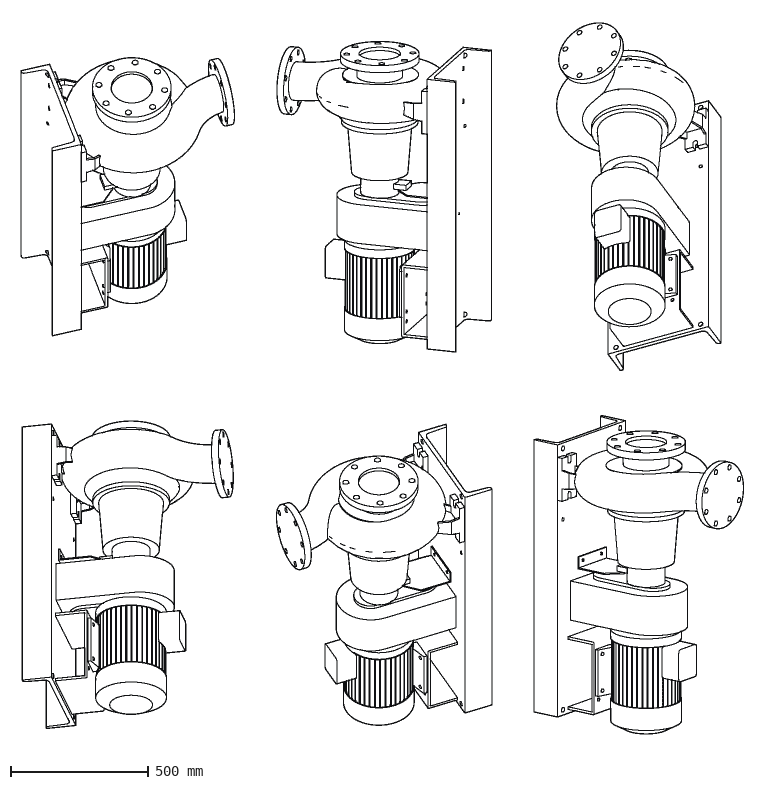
import cadquery as cq
import math


OVERLAP = 5.0

FRAME_WIDTH = 403.0
FRAME_DEPTH = 110.0
FRAME_BACK_Y = -252.0
FRAME_TOP_Z = 129.0
FRAME_LENGTH = 1032.0
FRAME_WEB = 16.0
LEG_ROOT = 21.0
LEG_TIP = 15.0
LEG_ROOT_FILLET = 17.0
LEG_TIP_FILLET = 10.0
CORNER_HOLE_X = 169.0
CORNER_HOLE_D = 17.0
CORNER_HOLE_INSET = 21.0
SIDE_HOLE_D = 12.0
SIDE_HOLE_Z = -161.0

PIPE_R = 70.0
VOLUTE_R = 181.0
VOLUTE_X = 16.0
OUTLET_TURN = 59.0
TONGUE_ANGLE = 60.0
TONGUE_PIPE_R = 54.0
TONGUE_CENTER_R = 174.0
TONGUE_SECTIONS = 5
COVER_R = 141.0
COVER_TOP_Z = 54.0
OUTLET_FLANGE_Y = 354.0
OUTLET_FLANGE_R = 124.0
OUTLET_FLANGE_THICK = 26.0
OUTLET_BOLT_R = 105.0
OUTLET_HOLE_D = 18.0

INLET_TOP_Z = 140.0
INLET_FLANGE_R = 143.0
INLET_FLANGE_THICK = 27.0
INLET_NECK_R = 84.0
INLET_BORE_R = 75.0
INLET_BORE_DEPTH = 13.0
INLET_BOLT_R = 120.0
INLET_HOLE_D = 22.0
FLANGE_BOLTS = 8

CONE_TOP_R = 177.0
CONE_TOP_Z = -60.0
COLLAR_R = 140.0
COLLAR_TOP_Z = -106.0
COLLAR_BOTTOM_Z = -123.0
BEARING_TOP_R = 118.0
BEARING_BOTTOM_R = 103.0
BEARING_BOTTOM_Z = -314.0
SHAFT_TUBE_R = 69.0

FOOT_OUTER_X = 201.0
FOOT_INNER_X = 117.0
FOOT_HEIGHT = 163.0
FOOT_THICK = 21.0
FOOT_BOLT_X = 157.0
FOOT_BOLT_Z = 63.0
FOOT_SLOT_WIDTH = 17.0
FOOT_HOLE_D = 15.0
FOOT_WEB_HALF_ROOT = 35.0
FOOT_WEB_HALF_TIP = 24.0
FOOT_WEB_TIP_Y = -152.0
FOOT_SHOULDER_Y = -199.0
FOOT_WEB_OUTER_END = (178.0, FOOT_WEB_TIP_Y)
FOOT_WEB_INNER_END = (87.0, -206.0)
FOOT_WALL = 8.0
FOOT_RIB_HALF = 5.0

SUPPORT_WIDTH = 163.0
SUPPORT_SHEET = 4.0
SUPPORT_END_Y = -80.0
SUPPORT_TOP_Z = -322.0
SUPPORT_BOTTOM_Z = -368.0
SUPPORT_HOLE_X = 54.0
SUPPORT_HOLE_D = 10.0
SUPPORT_CHAMFER = 52.0
SUPPORT_HOLE_Z = -341.0
PAD_WIDTH = 59.0
PAD_INNER_Y = -62.0
PAD_OUTER_Y = -112.0
PAD_HEIGHT = 20.0

GUARD_R = 126.0
GUARD_ROUND_Y = 33.0
GUARD_TOP_Z = -404.0
GUARD_HEIGHT = 149.0
COVER_PLATE_R = 62.0
COVER_PLATE_END_Y = -165.0
COVER_PLATE_THICK = 12.0
GUARD_HOLE_X = 110.0
GUARD_HOLE_D = 7.0

MOTOR_R = 129.0
MOTOR_GAP = 5.0
MOTOR_FLANGE_HEIGHT = 34.0
FIN_LENGTH = 230.0
FIN_TIP_R = 126.0
FIN_ROOT_R = 117.0
FIN_COUNT = 40
FIN_THICK = 16.0
COWL_HEIGHT = 84.0
MOTOR_BOTTOM_Z = -945.0
COWL_END_R = 78.0
BOX_WIDTH = 106.0
BOX_INNER_Y = 95.0
BOX_END_Y = 192.0
BOX_HEIGHT = 123.0
BOX_FILLET = 12.0
MOTOR_FOOT_OUTER_X = 130.0
MOTOR_FOOT_INNER_X = 43.0
MOTOR_FOOT_SHOULDER_X = 69.0
MOTOR_FOOT_TOP_Y = -103.0
MOTOR_FOOT_EDGE = 12.0
MOTOR_FOOT_LENGTH = 176.0
MOTOR_FOOT_Z = -729.0
MOTOR_BOLT_X = 111.0
MOTOR_BOLT_PITCH = 139.0
MOTOR_HOLE_D = 12.0
SPARE_HOLE_PITCH = 37.0

BRACKET_WIDTH = 278.0
BRACKET_FACE_Y = -132.0
BRACKET_TOP_Z = -612.0
BRACKET_BOTTOM_Z = -888.0
BRACKET_THICK = 10.0

FRAME_BOTTOM_Z = FRAME_TOP_Z - FRAME_LENGTH
FOOT_FACE_Y = FRAME_BACK_Y + FOOT_THICK
SHAFT_TUBE_END_Z = GUARD_TOP_Z + COVER_PLATE_THICK
GUARD_BOTTOM_Z = GUARD_TOP_Z - GUARD_HEIGHT
MOTOR_TOP_Z = GUARD_BOTTOM_Z - COVER_PLATE_THICK - MOTOR_GAP
FIN_TOP_Z = MOTOR_TOP_Z - MOTOR_FLANGE_HEIGHT
COWL_TOP_Z = FIN_TOP_Z - FIN_LENGTH
COWL_BOTTOM_Z = COWL_TOP_Z - COWL_HEIGHT


def box(x_range, y_range, z_range):
    """Box between two limits along each axis."""
    lows, highs = zip(x_range, y_range, z_range)
    size = [high - low for low, high in zip(lows, highs)]
    return cq.Workplane("XY").box(*size, centered=False).translate(lows)


def cylinder(radius, bottom, top):
    """Cylinder about the shaft axis."""
    return cq.Workplane("XY").workplane(offset=bottom).circle(radius).extrude(top - bottom)


def turned(profile):
    """Solid turned about the shaft axis from (radius, z) points."""
    return cq.Workplane("XZ").polyline(profile).close().revolve(360, (0, 0), (0, 1))


def holes_along_y(points, diameter, start_y, end_y):
    """Cylinders along Y at (x, z) points, used for cutting holes."""
    return (
        cq.Workplane("XZ", origin=(0, start_y, 0))
        .pushPoints(points)
        .circle(diameter / 2)
        .extrude(start_y - end_y)
    )


def ring_arc(center, ring_radius, start_angle, sweep_angle):
    """Bend of the volute pipe in the plane z = 0, from start_angle counterclockwise."""
    bend = (
        cq.Workplane("XZ")
        .center(ring_radius, 0)
        .circle(PIPE_R)
        .revolve(sweep_angle, (-ring_radius, 0), (-ring_radius, 1))
    )
    return bend.rotate((0, 0, 0), (0, 0, 1), start_angle).translate((*center, 0))


def narrowing_arc():
    """Inner end of the volute, lofted from the full pipe at -X to the tongue under the outlet."""
    sections = []
    for index in range(TONGUE_SECTIONS):
        share = index / (TONGUE_SECTIONS - 1)
        angle = math.radians(180 + share * (TONGUE_ANGLE - 180))
        full_center_r = VOLUTE_R - VOLUTE_X
        center_r = full_center_r + share * (TONGUE_CENTER_R - full_center_r)
        pipe_r = PIPE_R + share * (TONGUE_PIPE_R - PIPE_R)
        center = cq.Vector(center_r * math.cos(angle), center_r * math.sin(angle), 0)
        along = cq.Vector(-math.sin(angle), math.cos(angle), 0)
        sections.append(cq.Wire.makeCircle(pipe_r, center, along))
    return cq.Workplane(cq.Solid.makeLoft(sections))


def make_frame():
    half = FRAME_WIDTH / 2
    web_y = FRAME_BACK_Y - FRAME_WEB
    tip_y = FRAME_BACK_Y - FRAME_DEPTH
    middle_z = (FRAME_TOP_Z + FRAME_BOTTOM_Z) / 2
    outline = [
        (-half, FRAME_BACK_Y),
        (half, FRAME_BACK_Y),
        (half, tip_y),
        (half - LEG_TIP, tip_y),
        (half - LEG_ROOT, web_y),
        (LEG_ROOT - half, web_y),
        (LEG_TIP - half, tip_y),
        (-half, tip_y),
    ]
    frame = (
        cq.Workplane("XY")
        .workplane(offset=FRAME_BOTTOM_Z)
        .polyline(outline)
        .close()
        .extrude(FRAME_LENGTH)
    )
    for side in (-1, 1):
        root = cq.NearestToPointSelector((side * (half - LEG_ROOT), web_y, middle_z))
        frame = frame.edges("|Z").edges(root).fillet(LEG_ROOT_FILLET)
        tip = cq.NearestToPointSelector((side * (half - LEG_TIP), tip_y, middle_z))
        frame = frame.edges("|Z").edges(tip).fillet(LEG_TIP_FILLET)

    corner_levels = (FRAME_TOP_Z - CORNER_HOLE_INSET, FRAME_BOTTOM_Z + CORNER_HOLE_INSET)
    guard_level = GUARD_TOP_Z - GUARD_HEIGHT / 2
    hole_groups = [
        (CORNER_HOLE_X, corner_levels, CORNER_HOLE_D),
        (CORNER_HOLE_X, (SIDE_HOLE_Z,), SIDE_HOLE_D),
        (FOOT_BOLT_X, (-FOOT_BOLT_Z, FOOT_BOLT_Z), FOOT_HOLE_D),
        (SUPPORT_HOLE_X, (SUPPORT_HOLE_Z,), SUPPORT_HOLE_D),
        (GUARD_HOLE_X, (guard_level,), GUARD_HOLE_D),
    ]
    for hole_x, levels, diameter in hole_groups:
        points = [(side * hole_x, z) for side in (-1, 1) for z in levels]
        frame = frame.cut(holes_along_y(points, diameter, FRAME_BACK_Y, tip_y))
    return frame


def make_volute():
    turn = math.radians(OUTLET_TURN)
    main_arc = ring_arc((VOLUTE_X, 0), VOLUTE_R, 180, 180 + OUTLET_TURN)
    inner_arc = narrowing_arc()

    bend_r = (VOLUTE_X + VOLUTE_R * math.cos(turn)) / (1 - math.cos(turn))
    bend_end_y = (VOLUTE_R + bend_r) * math.sin(turn)
    outlet_bend = ring_arc((bend_r, bend_end_y), bend_r, 180, OUTLET_TURN)
    outlet_flange = (
        cq.Workplane("XZ", origin=(0, OUTLET_FLANGE_Y, 0))
        .circle(OUTLET_FLANGE_R)
        .extrude(OUTLET_FLANGE_THICK)
    )
    bolt_circle = (
        cq.Workplane("XZ", origin=(0, OUTLET_FLANGE_Y, 0))
        .polarArray(OUTLET_BOLT_R, 180 / FLANGE_BOLTS, 360, FLANGE_BOLTS)
        .circle(OUTLET_HOLE_D / 2)
        .extrude(OUTLET_FLANGE_THICK)
    )
    cover = cylinder(COVER_R, CONE_TOP_Z - OVERLAP, COVER_TOP_Z).translate((VOLUTE_X, 0, 0))
    volute = main_arc.union(inner_arc).union(outlet_bend).union(cover)
    return volute.union(outlet_flange.cut(bolt_circle))


def make_inlet():
    flange_bottom = INLET_TOP_Z - INLET_FLANGE_THICK
    neck = cylinder(INLET_NECK_R, 0, flange_bottom)
    flange = cylinder(INLET_FLANGE_R, flange_bottom, INLET_TOP_Z)
    bolt_circle = (
        cq.Workplane("XY", origin=(0, 0, flange_bottom))
        .polarArray(INLET_BOLT_R, 180 / FLANGE_BOLTS, 360, FLANGE_BOLTS)
        .circle(INLET_HOLE_D / 2)
        .extrude(INLET_FLANGE_THICK)
    )
    bore = cylinder(INLET_BORE_R, INLET_TOP_Z - INLET_BORE_DEPTH, INLET_TOP_Z)
    return neck.union(flange).cut(bolt_circle).cut(bore)


def make_bearing_housing():
    return turned([
        (0, CONE_TOP_Z),
        (CONE_TOP_R, CONE_TOP_Z),
        (COLLAR_R, COLLAR_TOP_Z),
        (COLLAR_R, COLLAR_BOTTOM_Z),
        (BEARING_TOP_R, COLLAR_BOTTOM_Z),
        (BEARING_BOTTOM_R, BEARING_BOTTOM_Z),
        (SHAFT_TUBE_R, BEARING_BOTTOM_Z),
        (SHAFT_TUBE_R, SHAFT_TUBE_END_Z),
        (0, SHAFT_TUBE_END_Z),
    ])


def web_slab(outline, half_thickness):
    """Plate of the given (x, y) outline, centred on z = 0."""
    return cq.Workplane("XY").polyline(outline).close().extrude(half_thickness, both=True)


def make_foot():
    """Foot on the +X side: a slotted plate and a tapering web up to the volute."""
    half_height = FOOT_HEIGHT / 2
    plate = box(
        (FOOT_INNER_X, FOOT_OUTER_X), (FRAME_BACK_Y, FOOT_FACE_Y), (-half_height, half_height)
    )
    for end in (-1, 1):
        slot = holes_along_y([(FOOT_BOLT_X, end * FOOT_BOLT_Z)], FOOT_SLOT_WIDTH, FOOT_FACE_Y, FRAME_BACK_Y)
        mouth = box(
            (FOOT_BOLT_X - FOOT_SLOT_WIDTH / 2, FOOT_BOLT_X + FOOT_SLOT_WIDTH / 2),
            (FRAME_BACK_Y, FOOT_FACE_Y),
            sorted((end * FOOT_BOLT_Z, end * half_height)),
        )
        plate = plate.cut(slot).cut(mouth)

    outer_path = [(FOOT_OUTER_X, FOOT_FACE_Y), (FOOT_OUTER_X, FOOT_SHOULDER_Y), FOOT_WEB_OUTER_END]
    inner_path = [FOOT_WEB_INNER_END, (FOOT_INNER_X, FOOT_FACE_Y)]
    web = web_slab(outer_path + inner_path, FOOT_WEB_HALF_ROOT)
    pocket_outer = [(x - FOOT_WALL, y) for x, y in outer_path]
    pocket_inner = [(x + FOOT_WALL, y) for x, y in inner_path]
    pocket = web_slab(pocket_outer + pocket_inner, FOOT_WEB_HALF_ROOT)
    rib = web_slab(pocket_outer + pocket_inner, FOOT_RIB_HALF)
    taper = (
        cq.Workplane("YZ")
        .polyline([
            (FOOT_FACE_Y, -FOOT_WEB_HALF_ROOT),
            (FOOT_WEB_TIP_Y, -FOOT_WEB_HALF_TIP),
            (FOOT_WEB_TIP_Y, FOOT_WEB_HALF_TIP),
            (FOOT_FACE_Y, FOOT_WEB_HALF_ROOT),
        ])
        .close()
        .extrude(FOOT_OUTER_X)
    )
    walls = web.intersect(taper).cut(pocket)
    return plate.union(walls).union(rib)


def make_support():
    half = SUPPORT_WIDTH / 2
    sheet_top = SUPPORT_BOTTOM_Z + SUPPORT_SHEET
    shelf = box((-half, half), (FRAME_BACK_Y, SUPPORT_END_Y), (SUPPORT_BOTTOM_Z, sheet_top))
    shelf = shelf.edges("|Z and >Y").chamfer(SUPPORT_CHAMFER)
    upright = box(
        (-half, half), (FRAME_BACK_Y, FRAME_BACK_Y + SUPPORT_SHEET), (SUPPORT_BOTTOM_Z, SUPPORT_TOP_Z)
    )
    points = [(side * SUPPORT_HOLE_X, SUPPORT_HOLE_Z) for side in (-1, 1)]
    holes = holes_along_y(points, SUPPORT_HOLE_D, FRAME_BACK_Y + SUPPORT_SHEET, FRAME_BACK_Y)
    pad = box(
        (-PAD_WIDTH / 2, PAD_WIDTH / 2), (PAD_OUTER_Y, PAD_INNER_Y), (sheet_top, sheet_top + PAD_HEIGHT)
    )
    return shelf.union(upright).cut(holes).union(pad)


def make_pump():
    foot = make_foot()
    pump = make_volute().union(make_inlet()).union(make_bearing_housing())
    pump = pump.union(foot).union(foot.mirror("YZ"))
    return pump.union(make_support())


def make_guard():
    body = cylinder(GUARD_R, GUARD_BOTTOM_Z, GUARD_TOP_Z).translate((0, GUARD_ROUND_Y, 0))
    body = body.union(
        box((-GUARD_R, GUARD_R), (FRAME_BACK_Y, GUARD_ROUND_Y), (GUARD_BOTTOM_Z, GUARD_TOP_Z))
    )
    plate_spacing = GUARD_ROUND_Y - COVER_PLATE_END_Y
    plate_middle_y = (GUARD_ROUND_Y + COVER_PLATE_END_Y) / 2
    plate_bottom = GUARD_BOTTOM_Z - COVER_PLATE_THICK
    cover_plates = (
        cq.Workplane("XY", origin=(0, plate_middle_y, plate_bottom))
        .slot2D(plate_spacing + 2 * COVER_PLATE_R, 2 * COVER_PLATE_R, 90)
        .extrude(GUARD_HEIGHT + 2 * COVER_PLATE_THICK)
    )
    return body.union(cover_plates)


def make_motor_foot():
    """Foot on the +X side, bolted to the bracket."""
    foot = (
        cq.Workplane("XY", origin=(0, 0, MOTOR_FOOT_Z))
        .polyline([
            (MOTOR_FOOT_INNER_X, BRACKET_FACE_Y),
            (MOTOR_FOOT_OUTER_X, BRACKET_FACE_Y),
            (MOTOR_FOOT_OUTER_X, BRACKET_FACE_Y + MOTOR_FOOT_EDGE),
            (MOTOR_FOOT_SHOULDER_X, MOTOR_FOOT_TOP_Y),
            (MOTOR_FOOT_INNER_X, MOTOR_FOOT_TOP_Y),
        ])
        .close()
        .extrude(MOTOR_FOOT_LENGTH / 2, both=True)
    )
    points = [(MOTOR_BOLT_X, MOTOR_FOOT_Z + end * MOTOR_BOLT_PITCH / 2) for end in (-1, 1)]
    return foot.cut(holes_along_y(points, MOTOR_HOLE_D, MOTOR_FOOT_TOP_Y, BRACKET_FACE_Y))


def make_motor():
    motor = turned([
        (0, MOTOR_TOP_Z),
        (MOTOR_R, MOTOR_TOP_Z),
        (MOTOR_R, FIN_TOP_Z),
        (FIN_ROOT_R, FIN_TOP_Z),
        (FIN_ROOT_R, COWL_TOP_Z),
        (MOTOR_R, COWL_TOP_Z),
        (MOTOR_R, COWL_BOTTOM_Z),
        (COWL_END_R, MOTOR_BOTTOM_Z),
        (0, MOTOR_BOTTOM_Z),
    ])
    fin = box(
        (FIN_ROOT_R - OVERLAP, FIN_TIP_R), (-FIN_THICK / 2, FIN_THICK / 2), (COWL_TOP_Z, FIN_TOP_Z)
    )
    pitch = 360 / FIN_COUNT
    for index in range(FIN_COUNT):
        motor = motor.union(fin.rotate((0, 0, 0), (0, 0, 1), index * pitch))

    terminal_box = box(
        (-BOX_WIDTH / 2, BOX_WIDTH / 2), (BOX_INNER_Y, BOX_END_Y), (FIN_TOP_Z - BOX_HEIGHT, FIN_TOP_Z)
    )
    terminal_box = terminal_box.edges("|Y").fillet(BOX_FILLET)
    foot = make_motor_foot()
    return motor.union(terminal_box).union(foot).union(foot.mirror("YZ"))


def make_motor_bracket():
    half = BRACKET_WIDTH / 2
    bracket = box((-half, half), (FRAME_BACK_Y, BRACKET_FACE_Y), (BRACKET_BOTTOM_Z, BRACKET_TOP_Z))
    bracket = bracket.edges("|X and >Y").fillet(BRACKET_THICK / 2)
    hollow = box(
        (-half, half),
        (FRAME_BACK_Y, BRACKET_FACE_Y - BRACKET_THICK),
        (BRACKET_BOTTOM_Z + BRACKET_THICK, BRACKET_TOP_Z - BRACKET_THICK),
    )
    lower_bolt_z = MOTOR_FOOT_Z - MOTOR_BOLT_PITCH / 2
    levels = (lower_bolt_z + MOTOR_BOLT_PITCH, lower_bolt_z, lower_bolt_z - SPARE_HOLE_PITCH)
    points = [(side * MOTOR_BOLT_X, z) for side in (-1, 1) for z in levels]
    holes = holes_along_y(points, MOTOR_HOLE_D, BRACKET_FACE_Y, BRACKET_FACE_Y - BRACKET_THICK)
    return bracket.cut(hollow).cut(holes)


frame = make_frame()
pump = make_pump()
guard = make_guard()
motor = make_motor()
motor_bracket = make_motor_bracket()

result = cq.Compound.makeCompound([
    frame.solids().val(),
    pump.solids().val(),
    guard.solids().val(),
    motor.solids().val(),
    motor_bracket.solids().val(),
])